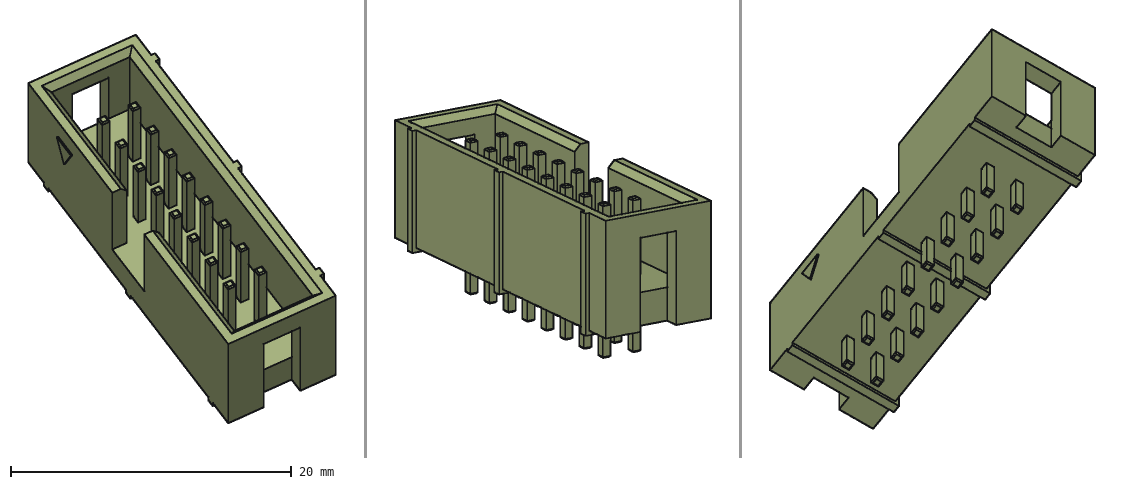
import cadquery as cq

body_length = 28.12
body_depth = 8.89
body_height = 8.8
wall = 1.2
floor_height = 2.5
rim_chamfer = 0.5

pins_per_row = 8
row_count = 2
pin_pitch = 2.53
pin_width = 0.65
pin_tip_chamfer = 0.1
pin_top_drop = 0.6
pin_tail = 3.3

notch_width = 4.5

end_slot_width = 3.0
end_slot_top_drop = 1.77

rail_count = 3
rail_spacing = 11.55
rail_width = 0.65
rail_height = 0.35
rib_thickness = 0.3

mark_size = 2.0
mark_thickness = 0.1
mark_top_drop = 1.6


def box_between(x_range, y_range, z_range):
    """Box spanning the given (low, high) range along each axis."""
    lows, highs = zip(x_range, y_range, z_range)
    sizes = [high - low for low, high in zip(lows, highs)]
    return cq.Workplane("XY").box(*sizes, centered=False).translate(lows)


def centred_range(width, middle=0.0):
    return (middle - width / 2, middle + width / 2)


def spaced_places(count, spacing, middle=0.0):
    """Evenly spaced positions, symmetric about the middle."""
    return [middle + (i - (count - 1) / 2) * spacing for i in range(count)]


front_y = -body_depth / 2
back_y = body_depth / 2
cavity_length = body_length - 2 * wall
cavity_depth = body_depth - 2 * wall
pin_columns = spaced_places(pins_per_row, pin_pitch)
pin_rows = spaced_places(row_count, pin_pitch)


def make_shell():
    """Open-topped housing whose cavity flares outward at the rim."""
    shell = box_between(centred_range(body_length), centred_range(body_depth), (0, body_height))
    cavity = box_between(
        centred_range(cavity_length), centred_range(cavity_depth), (floor_height, body_height)
    )
    flare = (
        cq.Workplane("XY", origin=(0, 0, body_height - rim_chamfer))
        .rect(cavity_length, cavity_depth)
        .workplane(offset=rim_chamfer)
        .rect(cavity_length + 2 * rim_chamfer, cavity_depth + 2 * rim_chamfer)
        .loft(ruled=True)
    )
    return shell.cut(cavity).cut(flare)


def make_notch():
    """Cut through the front wall, from the rim down to the cavity floor."""
    return box_between(
        centred_range(notch_width), (front_y, front_y + wall), (floor_height, body_height)
    )


def make_end_slot(side):
    """Cut through an end wall, open at the underside; side is -1 or +1 along X."""
    wall_middle = side * (body_length - wall) / 2
    return box_between(
        centred_range(wall, wall_middle),
        centred_range(end_slot_width),
        (0, body_height - end_slot_top_drop),
    )


def make_rail(x):
    """Standoff under the full depth of the housing plus its rib on the back wall."""
    x_range = centred_range(rail_width, x)
    standoff = box_between(x_range, (front_y, back_y + rib_thickness), (-rail_height, 0))
    rib = box_between(x_range, (back_y, back_y + rib_thickness), (0, body_height))
    return standoff.union(rib)


def make_mark():
    """Downward triangle on the front wall, pointing at the first pin."""
    mark_x = pin_columns[0]
    mark_top = body_height - mark_top_drop
    corners = [
        (mark_x - mark_size / 2, mark_top),
        (mark_x + mark_size / 2, mark_top),
        (mark_x, mark_top - mark_size),
    ]
    return cq.Workplane("XZ", origin=(0, front_y, 0)).polyline(corners).close().extrude(mark_thickness)


def make_pin(x, y):
    """Square pin running through the floor, chamfered at both tips."""
    pin = box_between(
        centred_range(pin_width, x), centred_range(pin_width, y), (-pin_tail, body_height - pin_top_drop)
    )
    return pin.faces("<Z or >Z").chamfer(pin_tip_chamfer)


result = make_shell().cut(make_notch())
for side in (-1, 1):
    result = result.cut(make_end_slot(side))
for x in spaced_places(rail_count, rail_spacing):
    result = result.union(make_rail(x))
result = result.union(make_mark())
for x in pin_columns:
    for y in pin_rows:
        result = result.union(make_pin(x, y))